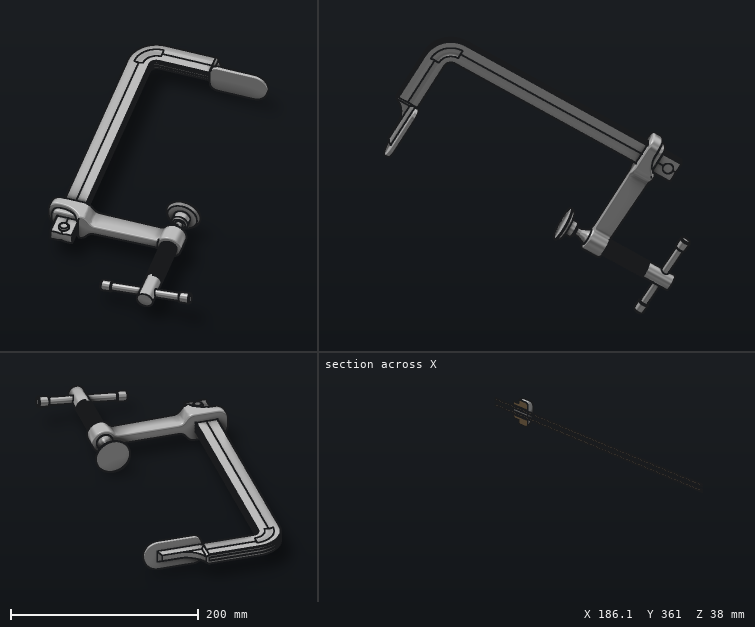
import cadquery as cq
import math

bar_width = 25.0
bar_thickness = 12.0
bar_edge_chamfer = 0.7
bar_bottom_y = 61.5
bar_top_y = 361.0
bend_outer_radius = 32.5
bar_end_x = 76.0
face_groove_width = 9.7
face_groove_depth = 1.0
side_groove_width = 4.0
side_groove_depth = 0.7

jaw_left_x = 77.5
jaw_right_x = 142.2
jaw_bottom_y = 334.0
jaw_thickness = 5.5
jaw_height = 33.2
jaw_left_corner_radius = 9.0
jaw_right_corner_radius = 16.0
jaw_edge_fillet = 1.0
rib_peak_x = 79.5
rib_thickness = 7.2
rib_foot_thickness = 13.5
rib_ledge_y = 344.3
rib_curve_mid = (89.5, 348.5)
rib_ledge_start_x = 105.5
rib_ledge_end_x = 123.8
rib_foot_x = 127.8

pin_y = 71.0
pin_radius = 5.8
pin_tip_radius = 4.5
pin_protrusion = 2.0

arm_top_y = 104.0
head_left_x = -24.5
head_height = 33.2
head_corner_radius = 12.3
flange_bottom_y = 91.5
flange_curve_start_x = -8.0
arm_bottom_y = 80.0
arm_tip_bottom_y = 82.3
neck_start_x = 13.5
neck_end_x = 31.0
arm_thickness = 12.0
arm_edge_fillet = 2.5
collar_left_x = -19.0
collar_right_x = 13.0
collar_height = 23.0
collar_bottom_y = 84.8
collar_corner_radius = 8.5
collar_edge_fillet = 3.0
boss_radius = 13.7
boss_bottom_y = 81.5
boss_edge_fillet = 2.0
boss_blend_radius = 7.2

screw_x = 113.7
screw_turn = 6.0
screw_radius = 9.0
screw_shoulder_y = 107.0
screw_shoulder_radius = 7.2
screw_neck_y = 113.0
screw_neck_radius = 4.7
screw_tip_radius = 4.5
thread_start_y = 30.5
thread_length = 72.2
thread_pitch = 3.2
thread_groove_width = 1.8
thread_depth = 1.0

pad_bottom_y = 118.5
pad_top_y = 134.3
pad_radius = 19.0
pad_rim_height = 1.0
pad_back_radius = 16.5
pad_back_y = 129.2
hub_radius = 9.0
hub_end_radius = 7.0
hub_chamfer_height = 2.0

handle_y = 12.5
handle_length = 100.7
handle_offset = -2.7
handle_diameter = 9.0
knob_radius = 5.8
knob_length = 12.5
knob_outer_chamfer = 1.5
knob_inner_chamfer = 1.0

half_width = bar_width / 2
half_thickness = bar_thickness / 2
handle_radius = handle_diameter / 2
jaw_top_y = jaw_bottom_y + jaw_thickness
bend_centre_x = bend_outer_radius - half_width
bend_centre_y = bar_top_y - bend_outer_radius
turn = math.radians(screw_turn)
screw_plane = cq.Plane(
    origin=(screw_x, 0, 0),
    xDir=(-math.sin(turn), 0, math.cos(turn)),
    normal=(0, 1, 0),
)


def bar_section(plane, rounded_groove):
    """Bar outline with chamfered corners, a groove in each face and each side; local X is across."""
    groove = face_groove_width / 2
    side = side_groove_width / 2
    groove_floor = half_thickness - face_groove_depth
    side_floor = half_width - side_groove_depth
    face_end = half_width - bar_edge_chamfer
    side_end = half_thickness - bar_edge_chamfer
    section = cq.Workplane(plane).moveTo(-face_end, half_thickness)
    for sign in (1, -1):
        section = section.lineTo(-sign * groove, sign * half_thickness)
        if rounded_groove:
            section = section.threePointArc((0, sign * groove_floor), (sign * groove, sign * half_thickness))
        else:
            section = section.lineTo(0, sign * groove_floor).lineTo(sign * groove, sign * half_thickness)
        section = (
            section.lineTo(sign * face_end, sign * half_thickness)
            .lineTo(sign * half_width, sign * side_end)
            .lineTo(sign * half_width, sign * side)
            .lineTo(sign * side_floor, sign * side)
            .lineTo(sign * side_floor, -sign * side)
            .lineTo(sign * half_width, -sign * side)
            .lineTo(sign * half_width, -sign * side_end)
            .lineTo(sign * face_end, -sign * half_thickness)
        )
    return section.close()


def make_bar():
    long_plane = cq.Plane(origin=(0, bend_centre_y, 0), xDir=(1, 0, 0), normal=(0, -1, 0))
    short_plane = cq.Plane(
        origin=(bend_centre_x, bar_top_y - half_width, 0), xDir=(0, 1, 0), normal=(1, 0, 0)
    )
    long_leg = bar_section(long_plane, False).extrude(bend_centre_y - bar_bottom_y)
    short_leg = bar_section(short_plane, False).extrude(bar_end_x - bend_centre_x)
    bend = bar_section(long_plane, True).revolve(90, (bend_centre_x, 0), (bend_centre_x, -1))
    return long_leg.union(bend).union(short_leg)


def rib_profile(thickness):
    """Rib outline from the bar tip down a concave curve to a ledge and a sloped end."""
    return (
        cq.Workplane("XY")
        .moveTo(bar_end_x, jaw_top_y)
        .lineTo(bar_end_x, bar_top_y)
        .lineTo(rib_peak_x, bar_top_y)
        .threePointArc(rib_curve_mid, (rib_ledge_start_x, rib_ledge_y))
        .lineTo(rib_ledge_end_x, rib_ledge_y)
        .lineTo(rib_foot_x, jaw_top_y)
        .close()
        .extrude(thickness / 2, both=True)
    )


def make_bar_tip():
    """Wedge that narrows the bar to the thickness of the rib."""
    return (
        cq.Workplane("XZ", origin=(0, bar_top_y - bar_width, 0))
        .polyline(
            [
                (bar_end_x, -half_thickness),
                (rib_peak_x, -rib_thickness / 2),
                (rib_peak_x, rib_thickness / 2),
                (bar_end_x, half_thickness),
            ]
        )
        .close()
        .extrude(-bar_width)
    )


def make_rib_foot():
    """Slopes on both sides of the rib, from its ledge out to the jaw plate."""
    slopes = (
        cq.Workplane("YZ", origin=(bar_end_x, 0, 0))
        .polyline(
            [
                (jaw_top_y, -rib_foot_thickness / 2),
                (rib_ledge_y, -rib_thickness / 2),
                (rib_ledge_y, rib_thickness / 2),
                (jaw_top_y, rib_foot_thickness / 2),
            ]
        )
        .close()
        .extrude(rib_foot_x - bar_end_x)
    )
    return slopes.intersect(rib_profile(rib_foot_thickness))


def make_jaw():
    plate = (
        cq.Workplane("XZ", origin=(0, jaw_bottom_y, 0))
        .center((jaw_left_x + jaw_right_x) / 2, 0)
        .rect(jaw_right_x - jaw_left_x, jaw_height)
        .extrude(-jaw_thickness)
        .edges("|Y and <X").fillet(jaw_left_corner_radius)
        .edges("|Y and >X").fillet(jaw_right_corner_radius)
        .faces("<Y or >Y").edges().fillet(jaw_edge_fillet)
    )
    return plate.union(make_bar_tip()).union(rib_profile(rib_thickness)).union(make_rib_foot())


def make_pin():
    return (
        cq.Workplane("XY", origin=(0, pin_y, -half_thickness))
        .circle(pin_radius)
        .extrude(bar_thickness)
        .faces(">Z").workplane()
        .circle(pin_radius)
        .workplane(offset=pin_protrusion)
        .circle(pin_tip_radius)
        .loft()
    )


def make_frame():
    pin_hole = cq.Workplane("XY", origin=(0, pin_y, 0)).circle(pin_radius).extrude(bar_thickness, both=True)
    return make_bar().union(make_jaw()).cut(pin_hole)


def arm_side_profile():
    """Arm silhouette in the XY plane: stepped head and tapered beam."""
    return (
        cq.Workplane("XY")
        .moveTo(head_left_x, arm_top_y)
        .lineTo(head_left_x, flange_bottom_y)
        .lineTo(flange_curve_start_x, flange_bottom_y)
        .tangentArcPoint((neck_start_x, arm_bottom_y), relative=False)
        .lineTo(neck_end_x, arm_bottom_y)
        .lineTo(screw_x, arm_tip_bottom_y)
        .lineTo(screw_x, arm_top_y)
        .close()
        .extrude(head_height / 2, both=True)
    )


def arm_plan_profile():
    """Arm seen along Y: wide round-cornered head, S-curved neck and thin beam."""
    head = head_height / 2
    beam = arm_thickness / 2
    blend_reach = math.sqrt((boss_radius + boss_blend_radius) ** 2 - (beam + boss_blend_radius) ** 2)
    blend_x = screw_x - blend_reach
    touch = boss_radius / (boss_radius + boss_blend_radius)
    touch_x = screw_x - blend_reach * touch
    touch_z = (beam + boss_blend_radius) * touch
    upper = (
        cq.Workplane("XZ")
        .moveTo(head_left_x, 0)
        .lineTo(head_left_x, head - head_corner_radius)
        .tangentArcPoint((head_left_x + head_corner_radius, head), relative=False)
        .lineTo(neck_start_x, head)
        .spline([(neck_end_x, beam)], tangents=[(1, 0), (1, 0)], includeCurrent=True)
        .lineTo(blend_x, beam)
        .tangentArcPoint((touch_x, touch_z), relative=False)
        .lineTo(screw_x, touch_z)
        .lineTo(screw_x, 0)
        .close()
        .extrude(-arm_top_y)
    )
    return upper.union(upper.mirror("XY"))


def make_collar():
    return (
        cq.Workplane("XZ", origin=(0, collar_bottom_y, 0))
        .center((collar_left_x + collar_right_x) / 2, 0)
        .rect(collar_right_x - collar_left_x, collar_height)
        .extrude(collar_bottom_y - flange_bottom_y)
        .edges("|Y").fillet(collar_corner_radius)
        .faces("<Y").edges().fillet(collar_edge_fillet)
    )


def cylinder_along_y(x, radius, bottom_y, top_y):
    return cq.Workplane("XZ", origin=(x, bottom_y, 0)).circle(radius).extrude(bottom_y - top_y)


def make_arm():
    beam = arm_side_profile().intersect(arm_plan_profile())
    beam = beam.edges("(not (|Y or |Z or >X)) or (<X and |Z)").fillet(arm_edge_fillet)
    boss = cylinder_along_y(screw_x, boss_radius, boss_bottom_y, arm_top_y).edges().fillet(boss_edge_fillet)
    bar_slot = cq.Workplane("XY").box(bar_width, 2 * bar_top_y, bar_thickness)
    screw_hole = cylinder_along_y(screw_x, screw_radius, 0, bar_top_y)
    return beam.union(make_collar()).union(boss).cut(bar_slot).cut(screw_hole)


def make_thread_groove():
    """Helical V cutter, as far outside the screw surface as inside, so twice the groove width there."""
    path = cq.Wire.makeHelix(thread_pitch, thread_length, screw_radius)
    groove = (
        cq.Workplane("XZ")
        .moveTo(screw_radius - thread_depth, 0)
        .lineTo(screw_radius + thread_depth, -thread_groove_width)
        .lineTo(screw_radius + thread_depth, thread_groove_width)
        .close()
        .sweep(cq.Workplane(path), isFrenet=True)
    )
    return groove.val().moved(cq.Location((0, 0, thread_start_y))).moved(cq.Location(screw_plane))


def revolve_about_screw(profile, axis_plane):
    """Solid of revolution about the screw axis from (radius, height) points."""
    return cq.Workplane(axis_plane).polyline(profile).close().revolve(360, (0, 0), (0, 1))


def make_screw():
    profile = [
        (0, 0),
        (screw_radius, 0),
        (screw_radius, arm_top_y),
        (screw_shoulder_radius, screw_shoulder_y),
        (screw_neck_radius, screw_neck_y),
        (screw_tip_radius, pad_bottom_y),
        (0, pad_bottom_y),
    ]
    axis_plane = cq.Plane(screw_plane.origin, xDir=screw_plane.xDir, normal=-screw_plane.yDir)
    shank = revolve_about_screw(profile, axis_plane)
    handle_hole = handle_workplane().circle(handle_radius).extrude(2 * screw_radius, both=True)
    return shank.cut(handle_hole).cut(cq.Workplane(make_thread_groove()))


def make_pad():
    profile = [
        (0, pad_bottom_y),
        (hub_end_radius, pad_bottom_y),
        (hub_radius, pad_bottom_y + hub_chamfer_height),
        (hub_radius, pad_back_y),
        (pad_back_radius, pad_back_y),
        (pad_radius, pad_top_y - pad_rim_height),
        (pad_radius, pad_top_y),
        (0, pad_top_y),
    ]
    axis_plane = cq.Plane(origin=(screw_x, 0, 0), xDir=(0, 0, 1), normal=(-1, 0, 0))
    return revolve_about_screw(profile, axis_plane)


def handle_workplane():
    """Plane across the tommy bar at the screw axis."""
    return cq.Workplane(cq.Plane(origin=(screw_x, handle_y, 0), xDir=(0, 1, 0), normal=screw_plane.yDir))


def make_handle():
    centre = handle_workplane().workplane(offset=handle_offset)
    rod = centre.circle(handle_radius).extrude(handle_length / 2, both=True)
    knob = (
        centre.workplane(offset=handle_length / 2 - knob_length)
        .circle(knob_radius)
        .extrude(knob_length)
    )
    outer_end = cq.selectors.DirectionMinMaxSelector(screw_plane.yDir, True)
    inner_end = cq.selectors.DirectionMinMaxSelector(screw_plane.yDir, False)
    knob = knob.faces(outer_end).chamfer(knob_outer_chamfer)
    knob = knob.faces(inner_end).chamfer(knob_inner_chamfer)
    middle = centre.plane.origin
    opposite_knob = knob.rotate(middle.toTuple(), (middle + cq.Vector(0, 3.5, 0)).toTuple(), 180)
    return rod.union(knob).union(opposite_knob)


frame = make_frame()
pin = make_pin()
arm = make_arm()
screw = make_screw()
pad = make_pad()
handle = make_handle()

result = cq.Compound.makeCompound(
    [frame.val(), pin.val(), arm.val(), screw.val(), pad.val(), handle.val()]
)